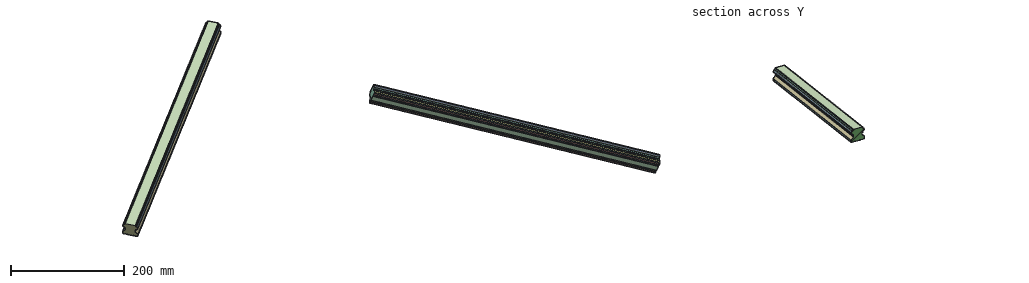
import cadquery as cq
import math

length = 530.0
width = 28.0
height = 26.0

top_half_width = 9.0
lip_half_width = 10.3
groove_mouth_half_width = 11.5
land_half_width = 12.6
ball_plane_z = 6.6
lip_rise = 5.6
groove_mouth_rise = 3.3
land_rise = 2.3
head_side_rise = 0.5
groove_sag = 0.65

waist_half_width = 9.0
waist_bottom_z = -2.4
foot_side_top_z = -7.4
foot_chamfer = 1.5

relief_outer_x = 9.0
relief_depth = 0.6
relief_width = 4.0
relief_flank_run = 0.6

half_width = width / 2
top_z = height / 2
bottom_z = -height / 2
relief_inner_x = relief_outer_x - relief_width


def groove_middle(start, end):
    """Middle of a concave ball groove, sunk towards the rail centre from the chord."""
    run = end[0] - start[0]
    drop = end[1] - start[1]
    chord = math.hypot(run, drop)
    middle_x = (start[0] + end[0]) / 2 - abs(drop) / chord * groove_sag
    middle_z = (start[1] + end[1]) / 2 - run / chord * groove_sag
    return middle_x, middle_z


def half_profile():
    """Right half of the rail outline, from top to bottom of the centre plane."""
    upper_start = (lip_half_width, ball_plane_z + lip_rise)
    upper_end = (groove_mouth_half_width, ball_plane_z + groove_mouth_rise)
    lower_start = (groove_mouth_half_width, ball_plane_z - groove_mouth_rise)
    lower_end = (lip_half_width, ball_plane_z - lip_rise)
    return (
        cq.Workplane("XZ", origin=(0, length / 2, 0))
        .moveTo(0, top_z)
        .lineTo(top_half_width, top_z)
        .lineTo(*upper_start)
        .threePointArc(groove_middle(upper_start, upper_end), upper_end)
        .lineTo(land_half_width, ball_plane_z + land_rise)
        .lineTo(half_width, ball_plane_z + head_side_rise)
        .lineTo(half_width, ball_plane_z - head_side_rise)
        .lineTo(land_half_width, ball_plane_z - land_rise)
        .lineTo(*lower_start)
        .threePointArc(groove_middle(lower_start, lower_end), lower_end)
        .lineTo(waist_half_width, lower_end[1])
        .lineTo(waist_half_width, waist_bottom_z)
        .lineTo(half_width, foot_side_top_z)
        .lineTo(half_width, bottom_z + foot_chamfer)
        .lineTo(half_width - foot_chamfer, bottom_z)
        .lineTo(relief_outer_x, bottom_z)
        .lineTo(relief_outer_x - relief_flank_run, bottom_z + relief_depth)
        .lineTo(relief_inner_x + relief_flank_run, bottom_z + relief_depth)
        .lineTo(relief_inner_x, bottom_z)
        .lineTo(0, bottom_z)
    )


result = half_profile().mirrorY().extrude(length)